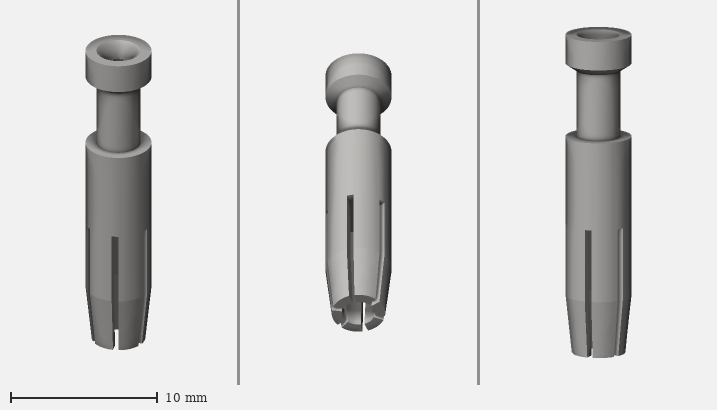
import cadquery as cq
import math

body_diameter = 4.5
total_length = 22.2

head_height = 2.0
head_chamfer_height = 0.5
recess_top_diameter = 3.0
recess_hole_diameter = 0.9
recess_cone_depth = 0.87
recess_total_depth = 2.0

neck_diameter = 3.0
sleeve_top = 15.1

taper_height = 4.0
taper_angle = 6.0

bore_diameter = 3.1
bore_depth = 9.0

slot_count = 6
slot_angular_width = 12.0
slot_height = 9.0
first_slot_angle = 30.0

body_radius = body_diameter / 2
tip_inset = taper_height * math.tan(math.radians(taper_angle))
tip_radius = body_radius - tip_inset
bore_radius = bore_diameter / 2
bore_tip_radius = bore_radius - tip_inset


def revolve_profile(points):
    """Revolve (radius, height) points about the Z axis."""
    return cq.Workplane("XZ").polyline(points).close().revolve(360, (0, 0), (0, 1))


def make_outer_body():
    """Solid turned shape: tapered sleeve, neck and head."""
    neck_radius = neck_diameter / 2
    head_bottom = total_length - head_height
    neck_top = head_bottom - head_chamfer_height
    return revolve_profile([
        (0, 0),
        (tip_radius, 0),
        (body_radius, taper_height),
        (body_radius, sleeve_top),
        (neck_radius, sleeve_top),
        (neck_radius, neck_top),
        (body_radius, head_bottom),
        (body_radius, total_length),
        (0, total_length),
    ])


def make_head_recess():
    """Conical mouth leading into a small blind hole."""
    hole_radius = recess_hole_diameter / 2
    hole_floor = total_length - recess_total_depth
    cone_bottom = total_length - recess_cone_depth
    return revolve_profile([
        (0, hole_floor),
        (hole_radius, hole_floor),
        (hole_radius, cone_bottom),
        (recess_top_diameter / 2, total_length),
        (0, total_length),
    ])


def make_bore():
    """Blind socket bore, narrower at the open tip."""
    return revolve_profile([
        (0, 0),
        (bore_tip_radius, 0),
        (bore_radius, taper_height),
        (bore_radius, bore_depth),
        (0, bore_depth),
    ])


def make_slot(angle):
    """One wedge-shaped slot whose side walls lie on radial planes."""
    outer_reach = body_diameter
    half_width = outer_reach * math.tan(math.radians(slot_angular_width / 2))
    outline = [
        (0, 0),
        (outer_reach, -half_width),
        (outer_reach, half_width),
    ]
    wedge = cq.Workplane("XY").polyline(outline).close().extrude(slot_height)
    return wedge.rotate((0, 0, 0), (0, 0, 1), angle)


result = make_outer_body().cut(make_head_recess()).cut(make_bore())
for index in range(slot_count):
    slot_angle = first_slot_angle + index * 360 / slot_count
    result = result.cut(make_slot(slot_angle))